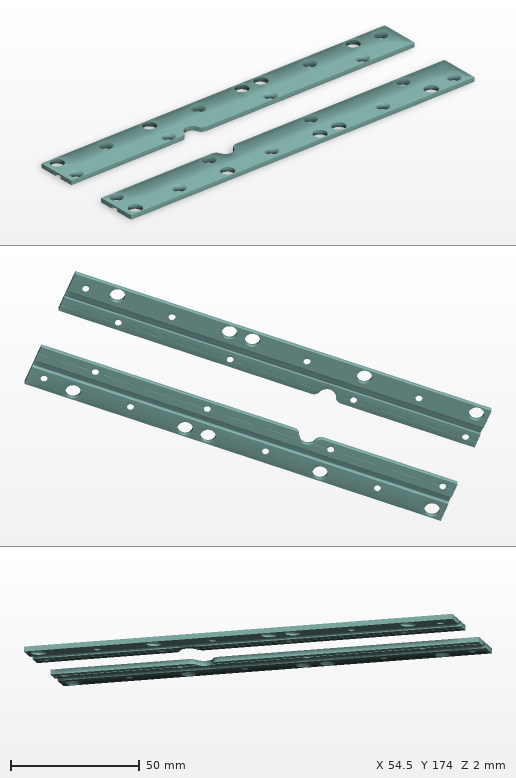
import cadquery as cq

overall_width = 54.5
length = 174.0
thickness = 2.0
gap = 18.1
outer_x = overall_width / 2
inner_x = gap / 2
plate_width = outer_x - inner_x

screw_diameter = 2.7
countersink_diameter = 6.0
countersink_angle = 90.0
outer_screw_x = outer_x - 5.0
inner_screw_x = inner_x + 3.2

clearance_diameter = 6.0
clearance_x = outer_x - 3.5

hole_pitch = 46.8
first_y = -82.0
second_y = first_y + hole_pitch
third_y = second_y + hole_pitch
upper_inner_screw_y = 16.4
upper_clearance_y = 21.2
lower_outer_screw_y = first_y + hole_pitch / 2
upper_outer_screw_y = upper_clearance_y + hole_pitch / 2
top_outer_screw_y = 80.7
outer_screw_ys = [
    lower_outer_screw_y,
    lower_outer_screw_y + hole_pitch,
    upper_outer_screw_y,
    top_outer_screw_y,
]
inner_screw_ys = [first_y, second_y, upper_inner_screw_y, upper_inner_screw_y + hole_pitch]
clearance_ys = [first_y, second_y, third_y, upper_clearance_y, upper_clearance_y + hole_pitch]

notch_y = -24.9
notch_radius = 3.5
notch_depth = 4.5
notch_lip_radius = 3.0
selection_margin = 0.1

channel_inner_x = 15.6
channel_roof_x = 18.4
channel_outer_x = 18.9
channel_depth = 1.2

groove_x = inner_screw_x - 0.2
groove_width = 0.5
groove_depth = 0.2


def make_blank():
    blank = cq.Workplane("XY").box(plate_width, length, thickness, centered=(False, True, False))
    return blank.translate((inner_x, 0, 0))


def cut_notch(plate):
    center_x = inner_x + notch_depth - notch_radius
    notch = cq.Workplane("XY").center(center_x, notch_y).circle(notch_radius).extrude(thickness)
    lip_edges = cq.selectors.BoxSelector(
        (inner_x - selection_margin, notch_y - notch_radius - selection_margin, -selection_margin),
        (inner_x + selection_margin, notch_y + notch_radius + selection_margin, thickness + selection_margin),
    )
    return plate.cut(notch).edges("|Z").edges(lip_edges).fillet(notch_lip_radius)


def cut_channel(plate):
    channel = (
        cq.Workplane("XZ")
        .moveTo(channel_inner_x, 0)
        .lineTo(channel_inner_x, channel_depth)
        .lineTo(channel_roof_x, channel_depth)
        .lineTo(channel_outer_x, 0)
        .close()
        .extrude(length / 2, both=True)
    )
    return plate.cut(channel)


def cut_groove(plate):
    groove = cq.Workplane("XY").box(groove_width, length, groove_depth, centered=(True, True, False))
    return plate.cut(groove.translate((groove_x, 0, 0)))


def cut_holes(plate):
    outer_screws = [(outer_screw_x, y) for y in outer_screw_ys]
    inner_screws = [(inner_screw_x, y) for y in inner_screw_ys]
    clearances = [(clearance_x, y) for y in clearance_ys]
    top = cq.Workplane("XY", origin=(0, 0, thickness))
    plate = (
        plate.copyWorkplane(top)
        .pushPoints(outer_screws + inner_screws)
        .cskHole(screw_diameter, countersink_diameter, countersink_angle)
    )
    return plate.copyWorkplane(top).pushPoints(clearances).hole(clearance_diameter)


def make_plate():
    plate = make_blank()
    plate = cut_notch(plate)
    plate = cut_channel(plate)
    plate = cut_groove(plate)
    return cut_holes(plate)


right_plate = make_plate()
left_plate = right_plate.mirror("YZ")

result = cq.Compound.makeCompound([left_plate.val(), right_plate.val()])